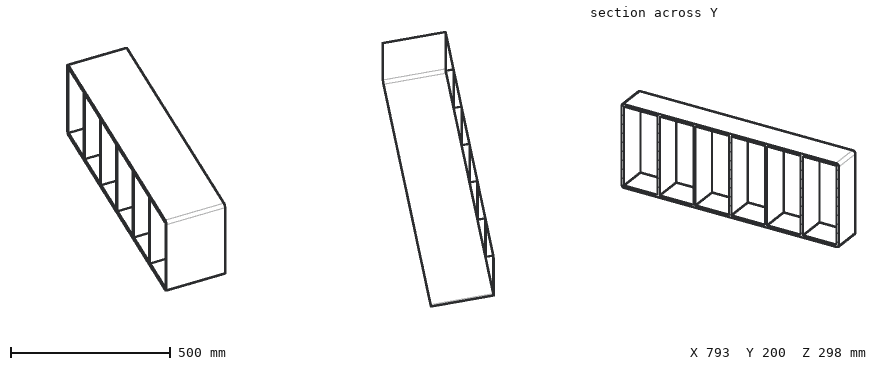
import cadquery as cq

length = 793.0
depth = 200.0
height = 298.0
wall = 10.0
corner_radius = wall
bay_count = 6

bay_width = (length - (bay_count + 1) * wall) / bay_count
bay_height = height - 2 * wall
bay_pitch = bay_width + wall


def make_frame():
    """Solid block with its four long outer corners rounded along Y."""
    return cq.Workplane("XY").box(length, depth, height).edges("|Y").fillet(corner_radius)


def make_bays():
    """Row of sharp-cornered openings running right through the depth."""
    return (
        cq.Workplane("XZ")
        .rarray(bay_pitch, 8, bay_count, 1)
        .rect(bay_width, bay_height)
        .extrude(depth / 2, both=True)
    )


result = make_frame().cut(make_bays())